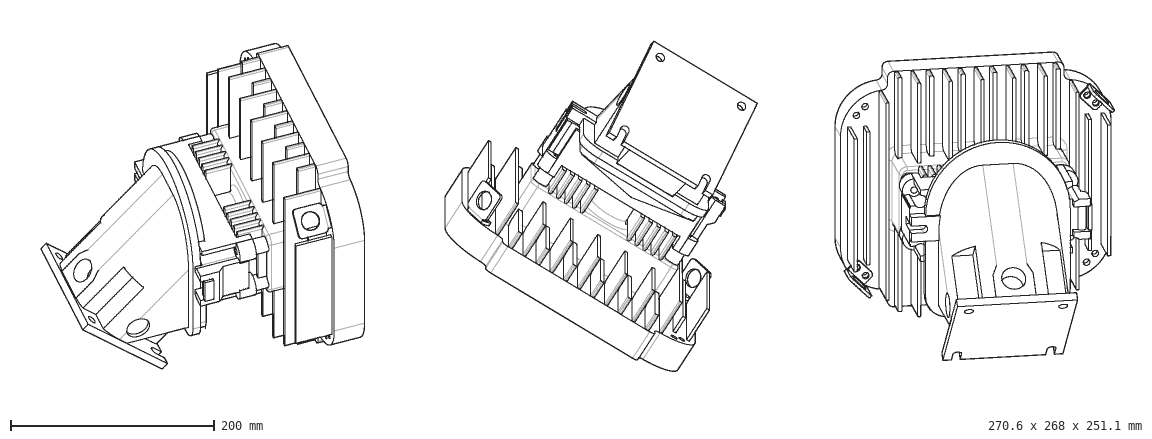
import cadquery as cq
import math

LAMP_HALF_WIDTH = 135.3
LAMP_SHOULDER_Z = 103.5
LAMP_CORNER_R = 46.0
LAMP_NECK_X = 88.2
LAMP_HEIGHT = 244.3
LAMP_HALF_HEIGHT = LAMP_HEIGHT / 2
LAMP_STEP_R = 6.0
LAMP_THICK = 32.0

LONG_FIN_PITCH = 31.6
FIN_PITCH = LONG_FIN_PITCH / 2
FIN_THICK = 3.2
SHORT_FIN_THICK = 4.3
LONG_FIN_Y = -69.5
SHORT_FIN_Y = -50.3
FIN_TOP_GAP = 0.8
FIN_END_R = 1.4
INNER_FINS = 5
SHOULDER_FIN = 6
SHOULDER_FIN_Z = 102.5
SIDE_FINS = (7, 8)
SIDE_FIN_TOP_Z = 66.8
LEFT_FIN_BOTTOM_Z = -71.0
RIGHT_FIN_BOTTOM_Z = -69.0

BLOCK_HALF_X = 85.0
BLOCK_HALF_Z = 38.5
BLOCK_Y = -82.2
BLOCK_CORNER_R = 7.5
BLOCK_FLARE_R = 6.2
BLOCK_EDGE_R = 3.0
SMALL_FIN_FIRST_X = 27.0
SMALL_FIN_PITCH = 9.2
SMALL_FIN_COUNT = 5
SMALL_FIN_THICK = 4.3
SMALL_FIN_END_R = 2.0
SMALL_FIN_Y = -107.7
NECK_R = 20.3
NECK_FLARE_R = 6.0

POST_X = 76.0
POST_Z = 25.2
POST_R = 7.8
POST_WALL_THICK = 4.3
POST_WALL_Y = -91.0

YOKE_BACK_Y = -96.0
YOKE_WEB_Y = -110.0
YOKE_FRONT_Y = -148.8
YOKE_HALF_Z = 37.0
YOKE_WINDOW_X = 68.7
BOSS_R = 11.5
BOSS_Y = -113.0
SCREW_R = 3.2
CHANNEL_R = 6.5
CHANNEL_Z = 20.8
WING_X = 87.0
WING_CORE_X = 86.0
WING_Z = 19.0
WING_Y = -104.0

LUG_X = 92.5
LUG_SLOPE_Y = -131.0
LUG_FRONT_Y = -156.4
HINGE_HALF_GAP = 13.0
HINGE_WALL_X = 81.5
HINGE_WALL_Y = -143.5
HINGE_PIN_R = 4.0
CLIP_WEB_THICK = 1.5
CLIP_STRIP_X = 91.2
CLIP_OUTER_X = 95.0
CLIP_FRONT_Y = -152.5
LATCH_HALF_Z = 12.7
LATCH_FRONT_Y = -160.0
LATCH_SLOT_HALF = 3.8
LATCH_SLOT_END_X = -71.0
LATCH_SLOT_Y = -129.3

ARCH_Z = 12.5
FLANGE_HALF_X = 72.2
FLANGE_BOTTOM_Z = -93.3
FLANGE_CORNER_R = 22.2
FLANGE_FRONT_Y = -157.0
PLUG_INSET = 5.5
PLUG_BACK_Y = -141.0
CAP_R = 65.0
CAP_RIDGE_Y = -129.3
CAP_BOTTOM_Z = -82.5

TUBE_HALF_X = 59.5
TUBE_ROUND_R = 44.4
TUBE_TOP_RISE = 154.7
TUBE_BOTTOM_RISE = 42.0
TUBE_FLOOR_Z = -81.0
KEEL_HALF_X = 32.5
TUBE_WALL = 4.0
CAVITY_TOP_RISE = 135.3
CAVITY_ROUND_R = 32.5
MOUNT_BACK = 213.7
MOUNT_FRONT = 221.8
MOUNT_HALF_X = 60.0
MOUNT_BOTTOM_RISE = 39.5
MOUNT_TOP_RISE = 157.2
BOLT_X = 47.0
BOLT_R = 4.3
BOLT_OFFSET = 46.5
POCKET_START = 153.6
POCKET_RISE = 131.7
POCKET_X = 33.0
PORT_R = 12.0
PORT_ALONG = 193.1
PORT_RISE = 103.3
PAD_HALF_X = 20.0
PAD_TAPER_START = 177.7
PAD_START = 188.0
PAD_THICK = 2.7

TAB_ACROSS = 22.7
TAB_BASE_WIDTH = 23.0
TAB_BASE_IN = 133.4
TAB_LEG_IN = 147.2
TAB_LEG_OUT = 150.5
TAB_THICK = 3.2
TAB_CORNER_R = 3.8
TAB_BEND_R = 4.3
TAB_LEG_WIDTH = 30.0
TAB_LEG_BACK_Y = -36.5
TAB_LEG_FRONT_Y = -67.0
TAB_HOLE_Y = -52.0
TAB_HOLE_R = 9.2
TAB_SCREW_OUT = 139.9
TAB_SCREW_SPACING = 12.2
TAB_SCREW_R = 3.2
TAB_SCREW_DEPTH = 8.0

LAMP_FRONT_Y = -LAMP_THICK
ROOT_HALF = math.sqrt(0.5)
OVERCUT = 13.5
FUSE = 2.7
EDGE_REACH = 0.3
FAR = 3 * LAMP_HALF_WIDTH
TOP_RISE_FACE = cq.selectors.DirectionMinMaxSelector(cq.Vector(0, -1, 1), True)


def block(x_range, y_range, z_range):
    """Axis-aligned box between two limits on each axis."""
    limits = [sorted(r) for r in (x_range, y_range, z_range)]
    sizes = [high - low for low, high in limits]
    corner = cq.Vector(*[low for low, high in limits])
    return cq.Workplane(cq.Solid.makeBox(*sizes, pnt=corner))


def rod(x, z, radius, y_back, y_front):
    """Cylinder along Y from y_back forward to y_front."""
    start = cq.Vector(x, y_back, z)
    return cq.Workplane(cq.Solid.makeCylinder(radius, y_back - y_front, start, cq.Vector(0, -1, 0)))


def face_plane(y):
    """Sketch plane square to Y: local x is X, local y is Z, extruding toward -Y."""
    return cq.Workplane("XZ", origin=(0, y, 0))


def tube_plane(along):
    """Sketch plane square to the tube axis: local x is X, local y is the rise."""
    axis = (0, -ROOT_HALF, -ROOT_HALF)
    centre = (0, -along * ROOT_HALF, -along * ROOT_HALF)
    return cq.Workplane(cq.Plane(origin=centre, xDir=(1, 0, 0), normal=axis))


def tube_box(x_range, rise_range, along_range):
    """Box aligned with the tilted tube."""
    centre_x = sum(x_range) / 2
    centre_rise = sum(rise_range) / 2
    width = x_range[1] - x_range[0]
    height = rise_range[1] - rise_range[0]
    sketch = tube_plane(along_range[0]).center(centre_x, centre_rise).rect(width, height)
    return sketch.extrude(along_range[1] - along_range[0])


def edges_within(x_range, y, half_z):
    """Selector for edges near the level y, inside the given X range and |z| limit."""
    low = (x_range[0] - FUSE, y - EDGE_REACH, -half_z - FUSE)
    high = (x_range[1] + FUSE, y + EDGE_REACH, half_z + FUSE)
    return cq.selectors.BoxSelector(low, high)


def lamp_quarter_points():
    """Corner points of the lamp outline in the +X +Z quarter, counter-clockwise."""
    centre_x = LAMP_HALF_WIDTH - LAMP_CORNER_R
    centre_z = LAMP_SHOULDER_Z - LAMP_CORNER_R
    foot_x = LAMP_NECK_X + LAMP_STEP_R
    foot_angle = math.acos((foot_x - centre_x) / LAMP_CORNER_R)
    middle = foot_angle / 2
    foot_z = centre_z + LAMP_CORNER_R * math.sin(foot_angle)
    return {
        "side": (LAMP_HALF_WIDTH, centre_z),
        "shoulder": (
            centre_x + LAMP_CORNER_R * math.cos(middle),
            centre_z + LAMP_CORNER_R * math.sin(middle),
        ),
        "foot": (foot_x, foot_z),
        "neck": (LAMP_NECK_X, foot_z + LAMP_STEP_R),
    }


def lamp_half_plate():
    """Right half (+X) of the lamp plate, with its outer neck corners rounded."""
    p = lamp_quarter_points()
    half = (
        face_plane(0)
        .moveTo(0, -LAMP_HALF_HEIGHT)
        .lineTo(LAMP_NECK_X, -LAMP_HALF_HEIGHT)
        .lineTo(p["neck"][0], -p["neck"][1])
        .radiusArc((p["foot"][0], -p["foot"][1]), LAMP_STEP_R)
        .threePointArc((p["shoulder"][0], -p["shoulder"][1]), (p["side"][0], -p["side"][1]))
        .lineTo(*p["side"])
        .threePointArc(p["shoulder"], p["foot"])
        .radiusArc(p["neck"], LAMP_STEP_R)
        .lineTo(LAMP_NECK_X, LAMP_HALF_HEIGHT)
        .lineTo(0, LAMP_HALF_HEIGHT)
        .close()
        .extrude(LAMP_THICK)
    )
    corners = edges_within((LAMP_NECK_X, LAMP_NECK_X), -LAMP_THICK / 2, LAMP_HALF_HEIGHT)
    tips = half.edges("|Y").edges(corners).edges(">Z or <Z")
    return tips.fillet(LAMP_STEP_R)


def lamp_shell():
    """Plate, driver block with its flared foot, and the central neck."""
    half = lamp_half_plate()
    plate = half.union(half.mirror("YZ")).clean()
    driver = block(
        (-BLOCK_HALF_X, BLOCK_HALF_X), (BLOCK_Y, LAMP_FRONT_Y + FUSE), (-BLOCK_HALF_Z, BLOCK_HALF_Z)
    )
    driver = driver.edges("|Y").fillet(BLOCK_CORNER_R)
    driver = driver.faces("<Y").edges().fillet(BLOCK_EDGE_R)
    shell = plate.union(driver)
    foot = edges_within((-BLOCK_HALF_X, BLOCK_HALF_X), LAMP_FRONT_Y, BLOCK_HALF_Z)
    shell = shell.edges(foot).fillet(BLOCK_FLARE_R)
    shell = shell.union(rod(0, 0, NECK_R, BLOCK_Y + FUSE, YOKE_WEB_Y))
    neck_foot = edges_within((-NECK_R, NECK_R), BLOCK_Y, NECK_R)
    return shell.edges(neck_foot).fillet(NECK_FLARE_R)


def lamp_fins():
    """Upright fins, every second one short."""
    fins = []
    root = LAMP_FRONT_Y + FUSE
    for index in range(-SIDE_FINS[-1], SIDE_FINS[-1] + 1):
        rank = abs(index)
        is_short = rank % 2 == 1
        tip = SHORT_FIN_Y if is_short else LONG_FIN_Y
        thick = FIN_THICK
        top = LAMP_HALF_HEIGHT - FIN_TOP_GAP
        bottom = -top
        if rank <= INNER_FINS and is_short:
            thick = SHORT_FIN_THICK
        if rank == SHOULDER_FIN:
            top = SHOULDER_FIN_Z
            bottom = -top
        if rank in SIDE_FINS:
            top = SIDE_FIN_TOP_Z
            bottom = LEFT_FIN_BOTTOM_Z if index < 0 else RIGHT_FIN_BOTTOM_Z
        x = index * FIN_PITCH
        fin = block((x - thick / 2, x + thick / 2), (tip, root), (bottom, top))
        if rank not in SIDE_FINS:
            fin = fin.edges("|Y").fillet(FIN_END_R)
        fins.append(fin)
    return fins


def block_fins():
    """Small fins on the driver block, five on each side of the neck."""
    fins = []
    for side in (-1, 1):
        for index in range(SMALL_FIN_COUNT):
            x = side * (SMALL_FIN_FIRST_X + index * SMALL_FIN_PITCH)
            x_range = (x - SMALL_FIN_THICK / 2, x + SMALL_FIN_THICK / 2)
            y_range = (SMALL_FIN_Y, BLOCK_Y + BLOCK_EDGE_R)
            fin = block(x_range, y_range, (-BLOCK_HALF_Z, BLOCK_HALF_Z))
            fins.append(fin.edges("|Y").fillet(SMALL_FIN_END_R))
    return fins


def post_places():
    return [(sx * POST_X, sz * POST_Z) for sx in (-1, 1) for sz in (-1, 1)]


def lamp_posts():
    """Screw posts and the thin wall that joins each pair."""
    parts = [rod(x, z, POST_R, BLOCK_Y + FUSE, YOKE_BACK_Y) for x, z in post_places()]
    for side in (-1, 1):
        x_range = (side * POST_X - POST_WALL_THICK / 2, side * POST_X + POST_WALL_THICK / 2)
        parts.append(block(x_range, (POST_WALL_Y, BLOCK_Y + FUSE), (-POST_Z, POST_Z)))
    return parts


def tab_screw_places():
    """Screw centres (out, across) of one hanging tab."""
    return [(TAB_SCREW_OUT, TAB_ACROSS + s * TAB_SCREW_SPACING / 2) for s in (-1, 1)]


def diagonal_to_xz(out, across):
    return (out + across) * ROOT_HALF, (out - across) * ROOT_HALF


def make_lamp():
    lamp = lamp_shell()
    for part in lamp_fins() + block_fins() + lamp_posts():
        lamp = lamp.union(part)
    for place in tab_screw_places():
        x, z = diagonal_to_xz(*place)
        for sx in (-1, 1):
            for sz in (-1, 1):
                lamp = lamp.cut(
                    rod(sx * x, sz * z, TAB_SCREW_R, LAMP_FRONT_Y + TAB_SCREW_DEPTH, LAMP_FRONT_Y)
                )
    return lamp


def make_tab(turn):
    """Bent tab on the +X +Z corner, then turned about Y by the given angle."""
    def centred(width):
        """Z range of the given width about the middle of the tab."""
        return (-TAB_ACROSS - width / 2, -TAB_ACROSS + width / 2)

    base = block(
        (TAB_BASE_IN, TAB_LEG_OUT), (LAMP_FRONT_Y - TAB_THICK, LAMP_FRONT_Y), centred(TAB_BASE_WIDTH)
    )
    base = base.edges("|Y and <X").fillet(TAB_CORNER_R)
    bend = block((TAB_LEG_IN, TAB_LEG_OUT), (TAB_LEG_BACK_Y, LAMP_FRONT_Y), centred(TAB_BASE_WIDTH))
    leg = block((TAB_LEG_IN, TAB_LEG_OUT), (TAB_LEG_FRONT_Y, TAB_LEG_BACK_Y), centred(TAB_LEG_WIDTH))
    leg = leg.edges("|X").fillet(TAB_CORNER_R)
    bent = base.union(bend).edges("|Z and >X and >Y").fillet(TAB_BEND_R)
    tab = bent.union(leg)
    for out, across in tab_screw_places():
        tab = tab.cut(rod(out, -across, TAB_SCREW_R, LAMP_FRONT_Y, LAMP_FRONT_Y - TAB_THICK))
    eye = cq.Solid.makeCylinder(
        TAB_HOLE_R,
        2 * TAB_THICK,
        cq.Vector(TAB_LEG_IN - TAB_THICK / 2, TAB_HOLE_Y, -TAB_ACROSS),
        cq.Vector(1, 0, 0),
    )
    tab = tab.cut(cq.Workplane(eye))
    return tab.rotate((0, 0, 0), (0, 1, 0), turn - 45)


def arch(inset, y_back, y_front):
    """Arch-shaped slab: half round on top, rounded corners at the bottom."""
    half = FLANGE_HALF_X - inset
    bottom = FLANGE_BOTTOM_Z + inset
    slab = (
        face_plane(y_back)
        .moveTo(-half, bottom)
        .lineTo(half, bottom)
        .lineTo(half, ARCH_Z)
        .threePointArc((0, ARCH_Z + half), (-half, ARCH_Z))
        .close()
        .extrude(y_back - y_front)
    )
    return slab.edges("|Y and <Z").fillet(FLANGE_CORNER_R - inset)


def make_plug():
    """Part of the elbow that sinks into the yoke: slab with a shallow roof-shaped back."""
    slab = arch(PLUG_INSET, PLUG_BACK_Y, YOKE_FRONT_Y)
    cone = cq.Solid.makeCone(
        CAP_R, 0, CAP_RIDGE_Y - PLUG_BACK_Y, cq.Vector(0, PLUG_BACK_Y, ARCH_Z), cq.Vector(0, 1, 0)
    )
    roof = (
        cq.Workplane("XY", origin=(0, 0, CAP_BOTTOM_Z))
        .polyline([(-CAP_R, PLUG_BACK_Y), (CAP_R, PLUG_BACK_Y), (0, CAP_RIDGE_Y)])
        .close()
        .extrude(ARCH_Z - CAP_BOTTOM_Z)
    )
    return slab.union(cq.Workplane(cone)).union(roof)


def latch_slot():
    """Round-ended slot at -X, shared by the latch ear and the yoke."""
    centre_x = LATCH_SLOT_END_X - LATCH_SLOT_HALF
    slot = block(
        (-WING_X - OVERCUT, centre_x), (LATCH_FRONT_Y, LATCH_SLOT_Y), (-LATCH_SLOT_HALF, LATCH_SLOT_HALF)
    )
    return slot.union(rod(centre_x, 0, LATCH_SLOT_HALF, LATCH_SLOT_Y, LATCH_FRONT_Y))


def round_topped_bar(half_x, top_rise, round_r, floor_z, end_y):
    """Tilted bar with rounded top shoulders, trimmed by a level floor and an upright end."""
    bar = tube_box((-half_x, half_x), (0, top_rise), (0, MOUNT_BACK))
    bar = bar.faces(TOP_RISE_FACE).edges("not |X").fillet(round_r)
    bar = bar.cut(block((-FAR, FAR), (-FAR, FAR), (floor_z - FAR, floor_z)))
    return bar.cut(block((-FAR, FAR), (end_y, FAR), (-FAR, FAR)))


def bolt_pockets(wall):
    """Box-shaped pockets in both shoulders next to the mounting plate, grown by a wall."""
    sides = []
    for side in (-1, 1):
        x_range = sorted((side * (POCKET_X - wall), side * (TUBE_HALF_X + OVERCUT)))
        rise_range = (POCKET_RISE - wall, TUBE_TOP_RISE + OVERCUT)
        sides.append(tube_box(x_range, rise_range, (POCKET_START - wall, MOUNT_BACK)))
    return sides[0].union(sides[1])


def top_pad():
    """Flat pad around the top cable port."""
    flat_x = TUBE_HALF_X - TUBE_ROUND_R
    return (
        tube_plane(0)
        .transformed(offset=(0, TUBE_TOP_RISE, 0), rotate=(90, 0, 0))
        .polyline([
            (-flat_x, PAD_TAPER_START),
            (-PAD_HALF_X, PAD_START),
            (-PAD_HALF_X, MOUNT_BACK),
            (PAD_HALF_X, MOUNT_BACK),
            (PAD_HALF_X, PAD_START),
            (flat_x, PAD_TAPER_START),
        ])
        .close()
        .extrude(PAD_THICK)
    )


def elbow_tube():
    """Hollow tilted tube with its pad, pockets and the narrow keel below it."""
    tube = round_topped_bar(
        TUBE_HALF_X, TUBE_TOP_RISE, TUBE_ROUND_R, TUBE_FLOOR_Z, FLANGE_FRONT_Y + FUSE
    )
    tube = tube.union(top_pad()).cut(bolt_pockets(0))
    cavity = round_topped_bar(
        TUBE_HALF_X - TUBE_WALL, CAVITY_TOP_RISE, CAVITY_ROUND_R, TUBE_FLOOR_Z + TUBE_WALL, FLANGE_FRONT_Y
    )
    tube = tube.cut(cavity.cut(bolt_pockets(TUBE_WALL)))
    keel = tube_box((-KEEL_HALF_X, KEEL_HALF_X), (TUBE_BOTTOM_RISE, PORT_RISE), (0, MOUNT_BACK))
    keel = keel.cut(block((-FAR, FAR), (-FAR, FAR), (TUBE_FLOOR_Z + FUSE, FAR)))
    keel = keel.cut(block((-FAR, FAR), (FLANGE_FRONT_Y + FUSE, FAR), (-FAR, FAR)))
    return tube.union(keel)


def mounting_plate():
    """Square plate with two bolt holes at the top and two open slots at the bottom."""
    plate = tube_box(
        (-MOUNT_HALF_X, MOUNT_HALF_X), (MOUNT_BOTTOM_RISE, MOUNT_TOP_RISE), (MOUNT_BACK, MOUNT_FRONT)
    )
    middle = (MOUNT_BOTTOM_RISE + MOUNT_TOP_RISE) / 2
    bolts = [(sx * BOLT_X, middle + sr * BOLT_OFFSET) for sx in (-1, 1) for sr in (-1, 1)]
    holes = tube_plane(MOUNT_BACK).pushPoints(bolts).circle(BOLT_R).extrude(MOUNT_FRONT - MOUNT_BACK)
    plate = plate.cut(holes)
    for side in (-1, 1):
        x_range = (side * BOLT_X - BOLT_R, side * BOLT_X + BOLT_R)
        rise_range = (MOUNT_BOTTOM_RISE - OVERCUT, middle - BOLT_OFFSET)
        plate = plate.cut(tube_box(x_range, rise_range, (MOUNT_BACK, MOUNT_FRONT)))
    return plate


def cable_ports():
    """One port straight through both sides and one from the top into the cavity."""
    port_y = -(PORT_ALONG + PORT_RISE) * ROOT_HALF
    port_z = (PORT_RISE - PORT_ALONG) * ROOT_HALF
    half_length = TUBE_HALF_X + OVERCUT
    side_port = cq.Solid.makeCylinder(
        PORT_R, 2 * half_length, cq.Vector(-half_length, port_y, port_z), cq.Vector(1, 0, 0)
    )
    top_port = cq.Solid.makeCylinder(
        PORT_R, TUBE_TOP_RISE - PORT_RISE + OVERCUT, cq.Vector(0, port_y, port_z), cq.Vector(0, -1, 1)
    )
    return cq.Workplane(side_port).union(cq.Workplane(top_port))


def make_elbow():
    ear = block((-WING_X, -TUBE_HALF_X + FUSE), (LATCH_FRONT_Y, YOKE_FRONT_Y), (-LATCH_HALF_Z, LATCH_HALF_Z))
    flange = arch(0, YOKE_FRONT_Y, FLANGE_FRONT_Y).union(ear).cut(latch_slot())
    elbow = make_plug().union(flange).union(elbow_tube()).union(mounting_plate())
    return elbow.cut(cable_ports())


def make_yoke():
    core = block((-POST_X, POST_X), (YOKE_FRONT_Y, YOKE_BACK_Y), (-YOKE_HALF_Z, YOKE_HALF_Z))
    arm_gap = block((-WING_X, WING_X), (WING_Y, YOKE_BACK_Y), (-POST_Z, POST_Z))
    yoke = core.cut(arm_gap)
    yoke = yoke.union(block((-WING_X, WING_X), (YOKE_FRONT_Y, YOKE_WEB_Y), (-WING_Z, WING_Z)))
    yoke = yoke.union(
        block((-WING_CORE_X, WING_CORE_X), (YOKE_FRONT_Y, BOSS_Y), (-CHANNEL_Z, CHANNEL_Z))
    )
    for side in (-1, 1):
        wing = sorted((side * YOKE_WINDOW_X, side * WING_X))
        yoke = yoke.union(block(wing, (YOKE_WEB_Y, WING_Y), (-WING_Z, WING_Z)))
    yoke = yoke.union(hinge_lugs()).cut(hinge_gap())
    for x, z in post_places():
        yoke = yoke.union(rod(x, z, BOSS_R, YOKE_BACK_Y, BOSS_Y))
        yoke = yoke.cut(rod(x, z, SCREW_R, YOKE_BACK_Y, BOSS_Y))
        yoke = yoke.cut(rod(x, z, CHANNEL_R, BOSS_Y, LUG_FRONT_Y))
    window = block(
        (-YOKE_WINDOW_X, YOKE_WINDOW_X), (YOKE_WEB_Y, YOKE_BACK_Y), (-YOKE_HALF_Z, YOKE_HALF_Z)
    )
    return yoke.cut(window).cut(make_plug()).cut(latch_slot())


def hinge_lugs():
    """Pair of lugs at +X that reach past the flange, with a gap for the clip."""
    return (
        cq.Workplane("XY", origin=(0, 0, -CHANNEL_Z))
        .polyline([
            (POST_X, BOSS_Y),
            (WING_X, BOSS_Y),
            (WING_X, LUG_SLOPE_Y),
            (LUG_X, LUG_SLOPE_Y - (LUG_X - WING_X)),
            (LUG_X, LUG_FRONT_Y),
            (POST_X, LUG_FRONT_Y),
        ])
        .close()
        .extrude(2 * CHANNEL_Z)
    )


def hinge_gap():
    """Space between the lugs: deep around the pin, shallow beside the flange."""
    z_range = (-HINGE_HALF_GAP, HINGE_HALF_GAP)
    pin_space = block((HINGE_WALL_X, LUG_X), (LUG_FRONT_Y, HINGE_WALL_Y), z_range)
    return pin_space.union(block((POST_X, LUG_X), (LUG_FRONT_Y, YOKE_FRONT_Y), z_range))


def make_hinge_clip():
    """Pin between the lugs with a thin web and an outer strip."""
    z_range = (-HINGE_HALF_GAP, HINGE_HALF_GAP)
    pin_x = HINGE_WALL_X + HINGE_PIN_R
    pin_y = HINGE_WALL_Y - HINGE_PIN_R
    pin = cq.Solid.makeCylinder(HINGE_PIN_R, 2 * HINGE_HALF_GAP, cq.Vector(pin_x, pin_y, -HINGE_HALF_GAP))
    web = block((pin_x, CLIP_OUTER_X), (HINGE_WALL_Y - CLIP_WEB_THICK, HINGE_WALL_Y), z_range)
    strip = block((CLIP_STRIP_X, CLIP_OUTER_X), (CLIP_FRONT_Y, HINGE_WALL_Y), z_range)
    return cq.Workplane(pin).union(web).union(strip)


lamp = make_lamp()
tabs = [make_tab(turn) for turn in (0, 180)]
yoke = make_yoke()
elbow = make_elbow()
hinge_clip = make_hinge_clip()

result = cq.Compound.makeCompound(
    [lamp.val(), *[tab.val() for tab in tabs], yoke.val(), elbow.val(), hinge_clip.val()]
)